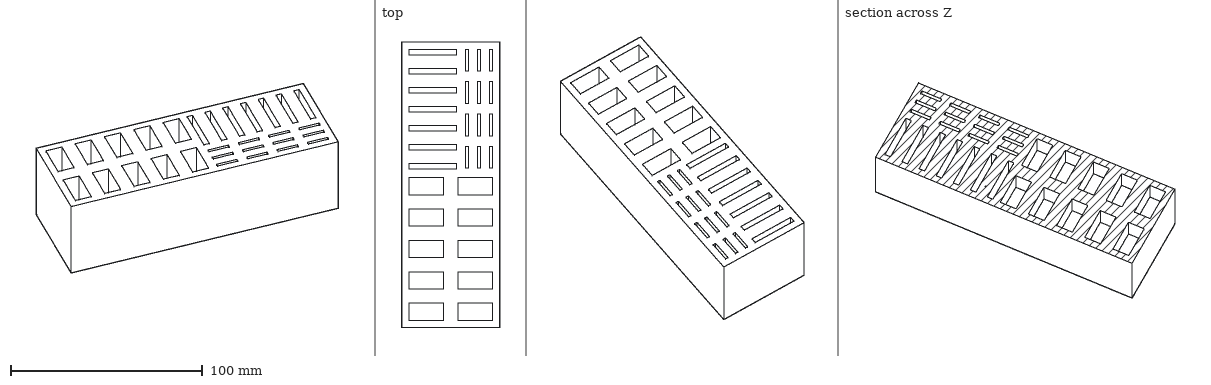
import cadquery as cq

block_width = 51.1
block_length = 149.0
block_height = 45.0
border = 3.9
slot_depth = 22.3

usb_columns = 2
usb_rows = 5
usb_width = 18.0
usb_length = 9.0
usb_field_length = 74.3

sd_rows = 7
sd_width = 24.6
sd_length = 3.0
sd_field_length = 62.4

micro_columns = 3
micro_rows = 4
micro_width = 1.5
micro_length = 11.3
micro_field_width = 14.0
micro_field_length = 62.0

left = -block_width / 2 + border
right = block_width / 2 - border
front = -block_length / 2 + border
back = block_length / 2 - border


def spread_centers(start, end, size, count):
    """Centers of equal slots spread evenly so the outer ones touch start and end."""
    pitch = (end - start - size) / (count - 1)
    return [start + size / 2 + i * pitch for i in range(count)]


def slot_grid(x_centers, y_centers, width, length):
    """Rectangular cutters sunk from the top face at every crossing of the centers."""
    points = [(x, y) for x in x_centers for y in y_centers]
    return (
        cq.Workplane("XY")
        .workplane(offset=block_height - slot_depth)
        .pushPoints(points)
        .rect(width, length)
        .extrude(slot_depth)
    )


usb_pockets = slot_grid(
    spread_centers(left, right, usb_width, usb_columns),
    spread_centers(front, front + usb_field_length, usb_length, usb_rows),
    usb_width,
    usb_length,
)

sd_slots = slot_grid(
    [left + sd_width / 2],
    spread_centers(back - sd_field_length, back, sd_length, sd_rows),
    sd_width,
    sd_length,
)

micro_slots = slot_grid(
    spread_centers(right - micro_field_width, right, micro_width, micro_columns),
    spread_centers(back - micro_field_length, back, micro_length, micro_rows),
    micro_width,
    micro_length,
)

block = cq.Workplane("XY").box(
    block_width, block_length, block_height, centered=(True, True, False)
)
result = block.cut(usb_pockets).cut(sd_slots).cut(micro_slots)